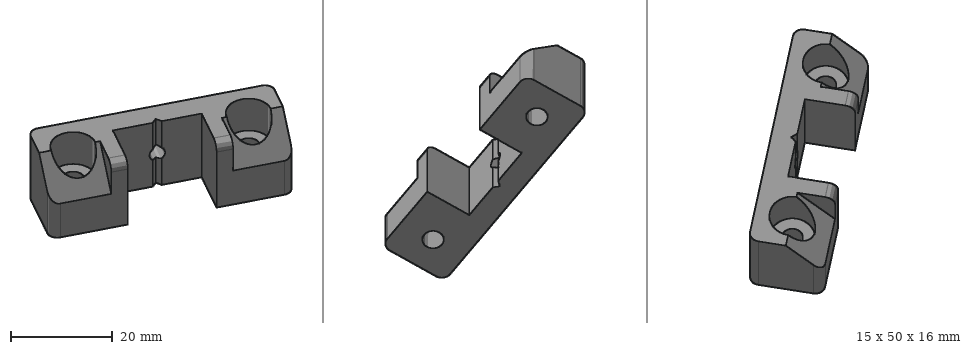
import cadquery as cq

width = 15.0
length = 50.0
height = 16.0
corner_radius = 2.0

back_thickness = 5.0
gap_length = 18.2
arm_outer_y = length / 4

slope_leg = width / 2

groove_depth = 1.0
groove_half_width = 0.95

screw_x = width / 2
screw_end_distance = 7.0
screw_y = length / 2 - screw_end_distance
screw_diameter = 4.2
counterbore_diameter = 9.0
counterbore_depth = height / 2

cross_hole_diameter = 3.2


def make_block():
    """Full block with its upright corners and its upper front edge rounded."""
    block = cq.Workplane("XY").box(width, length, height, centered=(False, True, False))
    rounded_top = block.edges("|Y and >X and >Z").fillet(corner_radius)
    rounded_sides = block.edges("|Z").fillet(corner_radius)
    return rounded_sides.intersect(rounded_top)


def make_end_slope(side):
    """Wedge above the slope at one end of the block; side is +1 or -1 along Y."""
    wedge_length = length / 2 - arm_outer_y
    wedge = (
        cq.Workplane("XZ")
        .moveTo(width - slope_leg, height)
        .lineTo(width, height)
        .lineTo(width, height - slope_leg)
        .close()
        .extrude(wedge_length / 2, both=True)
    )
    return wedge.translate((0, side * (arm_outer_y + wedge_length / 2), 0))


def make_gap():
    """Gap between the arms, including the V groove in its back wall."""
    half_gap = gap_length / 2
    return (
        cq.Workplane("XY")
        .moveTo(width, -half_gap)
        .lineTo(back_thickness, -half_gap)
        .lineTo(back_thickness, -groove_half_width)
        .lineTo(back_thickness - groove_depth, 0)
        .lineTo(back_thickness, groove_half_width)
        .lineTo(back_thickness, half_gap)
        .lineTo(width, half_gap)
        .close()
        .extrude(height)
    )


def make_screw_hole(side):
    """Through hole with its counterbore at one end; side is +1 or -1 along Y."""
    centre = (screw_x, side * screw_y)
    shank = cq.Workplane("XY").center(*centre).circle(screw_diameter / 2).extrude(height)
    counterbore = (
        cq.Workplane("XY")
        .workplane(offset=height)
        .center(*centre)
        .circle(counterbore_diameter / 2)
        .extrude(-counterbore_depth)
    )
    return shank.union(counterbore)


def make_cross_hole():
    """Hole along X from the back face into the gap."""
    return (
        cq.Workplane("YZ")
        .center(0, height / 2)
        .circle(cross_hole_diameter / 2)
        .extrude(back_thickness)
    )


result = make_block()
for side in (-1, 1):
    result = result.cut(make_end_slope(side))
    result = result.cut(make_screw_hole(side))
result = result.cut(make_gap())
result = result.cut(make_cross_hole())